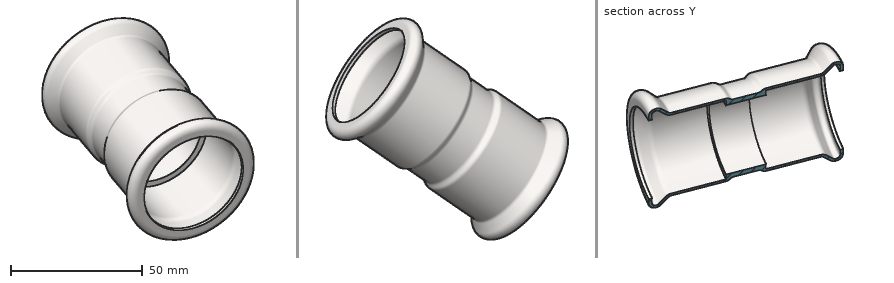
import cadquery as cq
import math

length = 79.0
bead_outer_radius = 26.7
tube_radius = 22.4
neck_radius = 42.0 / 2
socket_radius = 42.0 / 2
stop_radius = 18.5
wall = tube_radius - socket_radius

bead_radius = 3.0
groove_radius = bead_radius - wall
bead_center = (bead_radius, bead_outer_radius - bead_radius)
flare_angle = math.radians(45)
flare_bend_outer = 1.7
flare_bend_inner = flare_bend_outer + wall

step_start = 31.4
step_angle = math.radians(36)
step_bend = 1.8


def on_circle(center, radius, angle):
    """Point on a circle; the angle is measured from outward radial toward +X."""
    return (center[0] + radius * math.sin(angle), center[1] + radius * math.cos(angle))


bend_center_radius = tube_radius + flare_bend_outer
bend_spacing = bead_radius + flare_bend_outer
bend_rise = bend_center_radius - bead_center[1]
flare_run = (bend_spacing - bend_rise * math.cos(flare_angle)) / math.sin(flare_angle)
bend_center = (bead_center[0] + flare_run, bend_center_radius)

bend_drop = step_bend * (1 - math.cos(step_angle))
cone_drop = tube_radius - neck_radius - 2 * bend_drop
step_run = 2 * step_bend * math.sin(step_angle) + cone_drop / math.tan(step_angle)
step_end = step_start + step_run
upper_bend = (step_start, tube_radius - step_bend)
lower_bend = (step_end, neck_radius + step_bend)


def end_section():
    """Section of the -X end, from its mouth to the neck, as (X, radius) points.

    The stop is left as a full disc here; the bore is cut later.
    """
    flare_back = flare_angle + math.pi
    step_back = step_angle + math.pi
    return (
        cq.Workplane("XY")
        .moveTo(0, socket_radius)
        .lineTo(0, bead_center[1])
        .threePointArc(
            on_circle(bead_center, bead_radius, 0),
            on_circle(bead_center, bead_radius, flare_angle),
        )
        .lineTo(*on_circle(bend_center, flare_bend_outer, flare_back))
        .threePointArc(
            on_circle(bend_center, flare_bend_outer, math.pi + flare_angle / 2),
            (bend_center[0], tube_radius),
        )
        .lineTo(step_start, tube_radius)
        .threePointArc(
            on_circle(upper_bend, step_bend, step_angle / 2),
            on_circle(upper_bend, step_bend, step_angle),
        )
        .lineTo(*on_circle(lower_bend, step_bend, step_back))
        .threePointArc(
            on_circle(lower_bend, step_bend, math.pi + step_angle / 2),
            (step_end, neck_radius),
        )
        .lineTo(step_end, 0)
        .lineTo(step_start, 0)
        .lineTo(step_start, socket_radius)
        .lineTo(bend_center[0], socket_radius)
        .threePointArc(
            on_circle(bend_center, flare_bend_inner, math.pi + flare_angle / 2),
            on_circle(bend_center, flare_bend_inner, flare_back),
        )
        .lineTo(*on_circle(bead_center, groove_radius, flare_angle))
        .threePointArc(
            on_circle(bead_center, groove_radius, 0),
            (wall, bead_center[1]),
        )
        .lineTo(wall, socket_radius)
        .close()
    )


end = end_section().revolve(360, (0, 0, 0), (1, 0, 0)).translate((-length / 2, 0, 0))
other_end = end.mirror("YZ")

neck = cq.Workplane("YZ").circle(neck_radius).extrude(length / 2 - step_end, both=True)
bore = cq.Workplane("YZ").circle(stop_radius).extrude(length / 2, both=True)
result = end.union(neck).union(other_end).cut(bore)